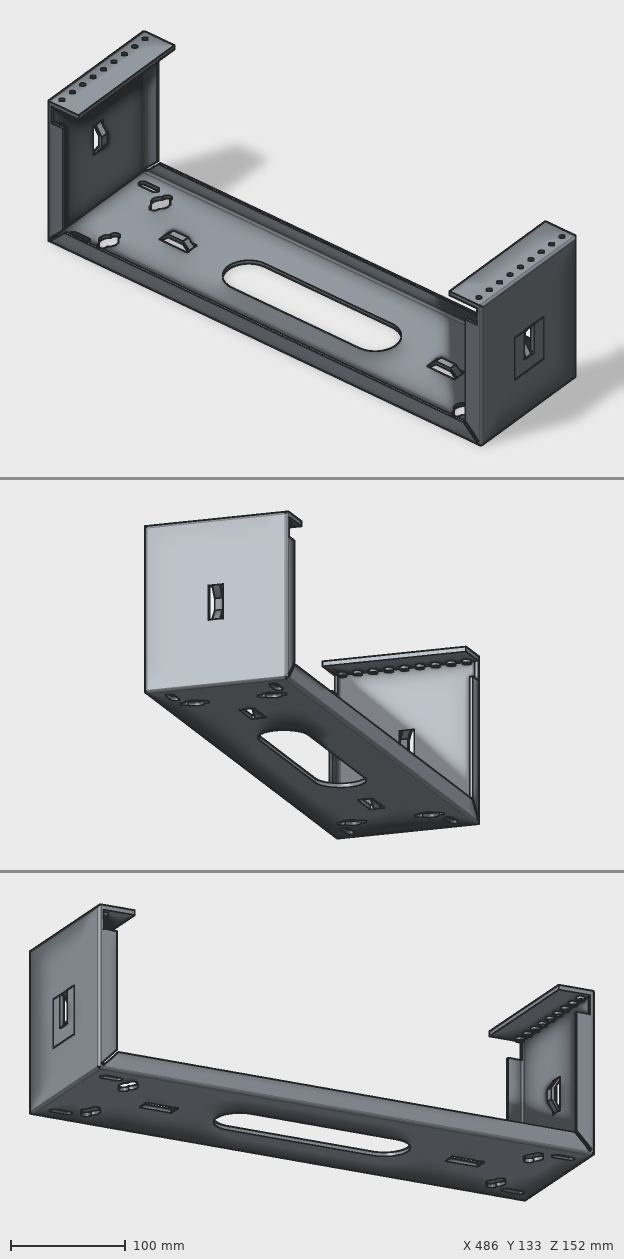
import cadquery as cq
import math

total_length = 486.0
width = 133.0
height = 152.0
pad_thickness = 0.25

sheet = 4.0
lip_sheet = 4.6
flange_sheet = 2.65
outer_bend = 2.5
inner_bend = 2.5

body_length = total_length - pad_thickness
half_length = body_length / 2
middle_height = height / 2

flange_depth = 18.0
mitre_gap = 2.5
bend_relief = 5.0
notch_drop = 22.5
lip_length = 35.5

hole_count = 9
hole_span = 115.5
hole_pitch = hole_span / (hole_count - 1)
hole_inset = 9.5
hole_diameter = 5.0
collar_diameter = 8.0
collar_drop = 3.0

window_length = 187.0
window_width = 45.5
keyhole_x = 198.5
keyhole_y = 36.0
keyhole_diameter = 17.5
keyhole_slot_length = 26.5
keyhole_slot_width = 8.7
corner_slot_x = 221.0
corner_slot_y = 48.0
corner_slot_length = 21.5
corner_slot_width = 8.0

bridge_length = 31.0
bridge_opening_width = 13.5
bridge_width = 7.5
bridge_rise = 7.0
bridge_sheet = 3.5
base_bridge_x = 149.5
base_bridge_ramp = 7.5
wall_bridge_ramp = 10.0

pad_width = 40.5
pad_height = 45.0
pad_center_z = 69.0


def box(x_range, y_range, z_range):
    """Box spanning the given (low, high) ranges."""
    sizes = [high - low for low, high in (x_range, y_range, z_range)]
    return cq.Workplane("XY").box(*sizes, centered=False).translate((x_range[0], y_range[0], z_range[0]))


def folded_shell():
    """Closed sheet box with rounded bends, before the open sides are removed."""
    plan = cq.Workplane("XY").box(body_length, width, height, centered=(True, True, False))
    outside = plan.edges("|Z").fillet(outer_bend)
    outside = outside.intersect(plan.edges("|Y").fillet(outer_bend))
    outside = outside.intersect(plan.edges("|X and <Z").fillet(outer_bend))
    cavity_height = height - sheet - lip_sheet
    cavity = cq.Workplane("XY").box(
        body_length - 2 * sheet, width - 2 * flange_sheet, cavity_height, centered=(True, True, False)
    )
    cavity = cavity.edges("|Z or (|X and <Z)").fillet(inner_bend)
    return outside.cut(cavity.translate((0, 0, sheet)))


def side_opening():
    """Opening through the front and back sheets that leaves the flanges and notches."""
    flange_x = half_length - flange_depth
    notch_x = half_length - bend_relief
    notch_z = height - notch_drop
    outline = [
        (flange_x, flange_depth),
        (flange_x, notch_z),
        (notch_x, notch_z),
        (notch_x, height - lip_sheet),
    ]
    mirrored = [(-x, z) for x, z in reversed(outline)]
    return cq.Workplane("XZ").polyline(outline + mirrored).close().extrude(width, both=True)


def mitre_slits(side):
    """Diagonal slits between the wall flanges and the base flanges at one end."""
    run = flange_depth - bend_relief
    middle = (flange_depth + bend_relief) / 2
    slits = cq.Workplane("XY").rarray(5, width - flange_sheet, 1, 2)
    slits = slits.box(run * math.sqrt(2) + mitre_gap, flange_sheet, mitre_gap)
    slits = slits.rotate((0, 0, 0), (0, 1, 0), 45 * side)
    return slits.translate((side * (half_length - middle), 0, middle))


def lip_collars(side):
    """Extruded collars under a lip, around the threaded holes."""
    return lip_cylinders(side, collar_diameter, height - lip_sheet - collar_drop, height - lip_sheet)


def lip_cylinders(side, diameter, bottom, top):
    """Row of vertical cylinders on the hole line of a lip."""
    row = cq.Workplane("XY", origin=(side * (half_length - hole_inset), 0, bottom))
    return row.rarray(5, hole_pitch, 1, hole_count).circle(diameter / 2).extrude(top - bottom)


def base_cutters():
    """Openings punched through the base."""
    base = cq.Workplane("XY")
    cutters = base.slot2D(window_length, window_width).extrude(sheet)
    keyholes = base.rarray(2 * keyhole_x, 2 * keyhole_y, 2, 2)
    cutters = cutters.union(keyholes.circle(keyhole_diameter / 2).extrude(sheet))
    cutters = cutters.union(keyholes.slot2D(keyhole_slot_length, keyhole_slot_width, 90).extrude(sheet))
    corner_slots = base.rarray(2 * corner_slot_x, 2 * corner_slot_y, 2, 2)
    return cutters.union(corner_slots.slot2D(corner_slot_length, corner_slot_width).extrude(sheet))


def bridge(ramp):
    """Trapezoidal strip along X, rising from a sheet whose underside is at Z = 0."""
    end = bridge_length / 2
    crest = end - ramp
    crest_z = sheet + bridge_rise
    upper = [(-end, sheet), (-crest, crest_z), (crest, crest_z), (end, sheet)]
    lower = [(x, z - bridge_sheet) for x, z in reversed(upper)]
    return cq.Workplane("XZ").polyline(upper + lower).close().extrude(bridge_width / 2, both=True)


def bridge_opening():
    """Rectangular opening around a bridge, reaching through sheet and pad."""
    depth = 2 * (sheet + pad_thickness)
    return cq.Workplane("XY").box(bridge_length, bridge_opening_width, depth)


def on_wall(shape, side):
    """Turn a shape from the base plane onto the outside of a wall, rising inward."""
    turned = shape.rotate((0, 0, 0), (0, 1, 0), -90 * side)
    return turned.translate((side * half_length, 0, middle_height))


body = folded_shell().cut(side_opening())

lip_end = half_length - lip_length
body = body.cut(box((-lip_end, lip_end), (-width, width), (height - lip_sheet, height)))

body = body.union(
    box(
        (half_length - sheet, half_length + pad_thickness),
        (-pad_width / 2, pad_width / 2),
        (pad_center_z - pad_height / 2, pad_center_z + pad_height / 2),
    )
)

body = body.cut(base_cutters())
for side in (-1, 1):
    body = body.cut(mitre_slits(side))
    body = body.union(lip_collars(side))
    body = body.cut(lip_cylinders(side, hole_diameter, middle_height + bridge_length, height))

    base_place = (side * base_bridge_x, 0, 0)
    body = body.cut(bridge_opening().translate(base_place))
    body = body.union(bridge(base_bridge_ramp).translate(base_place))
    body = body.cut(on_wall(bridge_opening(), side))
    body = body.union(on_wall(bridge(wall_bridge_ramp), side))

result = body.translate((-pad_thickness / 2, 0, 0))